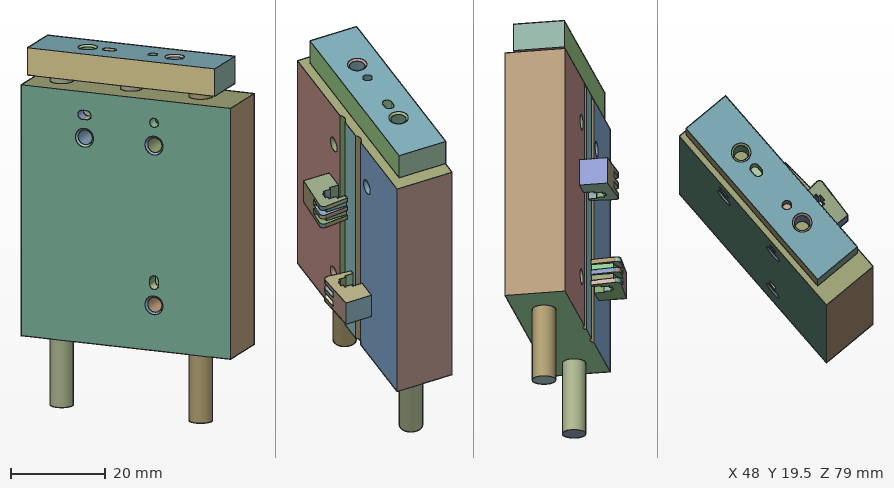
import cadquery as cq
import math


ROD_OVERHANG = 16.0
HOUSING_HEIGHT = 55.0
PLATE_GAP = 2.0
PLATE_HEIGHT = 6.0
HOUSING_BOTTOM = ROD_OVERHANG
HOUSING_TOP = HOUSING_BOTTOM + HOUSING_HEIGHT
PLATE_BOTTOM = HOUSING_TOP + PLATE_GAP
PLATE_TOP = PLATE_BOTTOM + PLATE_HEIGHT

HOUSING_WIDTH = 48.0
HOUSING_DEPTH = 12.95
PLATE_WIDTH = 43.0
PLATE_DEPTH = 11.0
PLATE_SETBACK = 1.0
HOUSING_LEFT = -PLATE_WIDTH / 2 - PLATE_SETBACK
HOUSING_FRONT = -HOUSING_DEPTH / 2
HOUSING_BACK = HOUSING_DEPTH / 2

GUIDE_ROD_DIAMETER = 5.0
GUIDE_ROD_OFFSET = 15.95
PISTON_ROD_DIAMETER = 4.6

SCREW_DIAMETER = 3.2
SCREW_MOUTH_DIAMETER = 4.1
SCREW_MOUTH_ANGLE = 45
SCREW_OFFSET = 8.0
UPPER_SCREW_DROP = 10.0
SCREW_PITCH = 35.0
PIN_DIAMETER = 2.0
PIN_SLOT_LENGTH = 3.0
PIN_DEPTH = 3.0
PIN_TO_SCREW = 5.0
PLATE_PIN_OFFSET = 5.0
PLATE_SCREW_OFFSET = 9.95
UPPER_SCREW_Z = HOUSING_TOP - UPPER_SCREW_DROP
LOWER_SCREW_Z = UPPER_SCREW_Z - SCREW_PITCH

SENSOR_OFFSET = 3.8
SENSOR_GROOVE_DIAMETER = 3.2
SENSOR_GROOVE_DEPTH = 0.55

CLIP_OUTER = 10.2
CLIP_INNER = 0.3
CLIP_FOOT_INNER = 0.95
CLIP_HEIGHT = 6.6
CLIP_OUTER_HEIGHT = 6.0
CLIP_LEG_GAP = 0.2
CLIP_CORNER_RADIUS = 0.95
CLIP_SLOT_STEPS = [(3.8, 2.1), (2.8, 3.8), (1.35, 4.35)]
RIB_COUNT = 3
RIB_LENGTH = 1.0
RIB_GAP = 1.35
CLIP_LENGTH = RIB_COUNT * RIB_LENGTH + (RIB_COUNT - 1) * RIB_GAP
GRIP_DIAMETER = 10.0
GRIP_FLOOR_HEIGHT = 5.0
GRIP_WALL_INNER = 1.3
RIGHT_CLIP_DROP = 19.35
LEFT_CLIP_DROP = 37.8
RIGHT_CLIP_TOP = HOUSING_TOP - RIGHT_CLIP_DROP
LEFT_CLIP_TOP = HOUSING_TOP - LEFT_CLIP_DROP


def front_plane(x, z):
    """Plane on the housing front, with its normal pointing out."""
    return cq.Plane(origin=(x, HOUSING_FRONT, z), xDir=(1, 0, 0), normal=(0, -1, 0))


def top_plane(x):
    """Plane on the plate top, with its normal pointing up."""
    return cq.Plane(origin=(x, 0, PLATE_TOP))


def screw_hole(plane, length):
    """Cutter for a hole with a countersunk mouth."""
    mouth_radius = SCREW_MOUTH_DIAMETER / 2
    slope = math.tan(math.radians(SCREW_MOUTH_ANGLE))
    mouth_depth = (mouth_radius - SCREW_DIAMETER / 2) / slope
    bore = cq.Workplane(plane).circle(SCREW_DIAMETER / 2).extrude(-length)
    mouth = cq.Workplane(plane).circle(mouth_radius).extrude(-mouth_depth, taper=SCREW_MOUTH_ANGLE)
    return bore.union(mouth)


def pin_hole(plane):
    """Cutter for a round locating hole."""
    return cq.Workplane(plane).circle(PIN_DIAMETER / 2).extrude(-PIN_DEPTH)


def pin_slot(plane, angle):
    """Cutter for a locating slot turned by the given angle."""
    return cq.Workplane(plane).slot2D(PIN_SLOT_LENGTH, PIN_DIAMETER, angle).extrude(-PIN_DEPTH)


def cylinder(diameter, x, y, z_bottom, z_top):
    """Upright cylinder between two heights."""
    return cq.Workplane("XY", origin=(x, y, z_bottom)).circle(diameter / 2).extrude(z_top - z_bottom)


def make_housing():
    housing = cq.Workplane("XY").box(
        HOUSING_WIDTH, HOUSING_DEPTH, HOUSING_HEIGHT, centered=False
    ).translate((HOUSING_LEFT, HOUSING_FRONT, HOUSING_BOTTOM))

    screw_places = [
        (-SCREW_OFFSET, UPPER_SCREW_Z),
        (SCREW_OFFSET, UPPER_SCREW_Z),
        (SCREW_OFFSET, LOWER_SCREW_Z),
    ]
    for x, z in screw_places:
        housing = housing.cut(screw_hole(front_plane(x, z), HOUSING_DEPTH))

    upper_pin_z = UPPER_SCREW_Z + PIN_TO_SCREW
    lower_pin_z = LOWER_SCREW_Z + PIN_TO_SCREW
    housing = housing.cut(pin_hole(front_plane(SCREW_OFFSET, upper_pin_z)))
    housing = housing.cut(pin_slot(front_plane(-SCREW_OFFSET, upper_pin_z), 0))
    housing = housing.cut(pin_slot(front_plane(SCREW_OFFSET, lower_pin_z), 90))

    groove_y = HOUSING_BACK - SENSOR_GROOVE_DEPTH + SENSOR_GROOVE_DIAMETER / 2
    for side in (-1, 1):
        bore = cylinder(GUIDE_ROD_DIAMETER, side * GUIDE_ROD_OFFSET, 0, HOUSING_BOTTOM, HOUSING_TOP)
        groove = cylinder(
            SENSOR_GROOVE_DIAMETER, side * SENSOR_OFFSET, groove_y, HOUSING_BOTTOM, HOUSING_TOP
        )
        housing = housing.cut(bore).cut(groove)
    return housing


def make_plate():
    """End plate in one piece with the piston rod, which meets the housing top."""
    plate = cq.Workplane("XY", origin=(0, 0, PLATE_BOTTOM)).box(
        PLATE_WIDTH, PLATE_DEPTH, PLATE_HEIGHT, centered=(True, True, False)
    )
    for side in (-1, 1):
        plate = plate.cut(screw_hole(top_plane(side * PLATE_SCREW_OFFSET), PLATE_HEIGHT))
    plate = plate.cut(pin_hole(top_plane(PLATE_PIN_OFFSET)))
    plate = plate.cut(pin_slot(top_plane(-PLATE_PIN_OFFSET), 0))
    return plate.union(cylinder(PISTON_ROD_DIAMETER, 0, 0, HOUSING_TOP, PLATE_BOTTOM))


def make_guide_rod(side):
    """Guide rod from the plate down through the housing."""
    return cylinder(GUIDE_ROD_DIAMETER, side * GUIDE_ROD_OFFSET, 0, 0, PLATE_BOTTOM)


def clip_blank(plane):
    """Clip profile with its sloping top, rounded inner corner and stepped sensor slot."""
    blank = (
        cq.Workplane(plane)
        .polyline([
            (CLIP_OUTER, 0),
            (CLIP_OUTER, CLIP_OUTER_HEIGHT),
            (CLIP_INNER, CLIP_HEIGHT),
            (CLIP_FOOT_INNER, CLIP_LEG_GAP),
            (SENSOR_OFFSET, CLIP_LEG_GAP),
            (SENSOR_OFFSET, 0),
        ])
        .close()
        .extrude(CLIP_LENGTH)
    )
    top_corner = cq.selectors.NearestToPointSelector(
        plane.toWorldCoords((CLIP_INNER, CLIP_HEIGHT, CLIP_LENGTH / 2)).toTuple()
    )
    blank = blank.edges(top_corner).fillet(CLIP_CORNER_RADIUS)
    for width, height in CLIP_SLOT_STEPS:
        step = cq.Workplane(plane).center(SENSOR_OFFSET, height / 2).rect(width, height)
        blank = blank.cut(step.extrude(CLIP_LENGTH))
    return blank


def grip_hollow(plane):
    """Cutter between two ribs: a straight wall on the leg and a round hollow in the top."""
    radius = GRIP_DIAMETER / 2
    rise = CLIP_HEIGHT - GRIP_FLOOR_HEIGHT
    reach = math.sqrt(radius**2 - (radius - rise) ** 2)
    half_angle = math.acos(1 - rise / radius) / 2
    arc_middle = (
        GRIP_WALL_INNER + radius * math.sin(half_angle),
        GRIP_FLOOR_HEIGHT + radius * (1 - math.cos(half_angle)),
    )
    return (
        cq.Workplane(plane)
        .moveTo(0, 0)
        .lineTo(GRIP_WALL_INNER, 0)
        .lineTo(GRIP_WALL_INNER, GRIP_FLOOR_HEIGHT)
        .threePointArc(arc_middle, (GRIP_WALL_INNER + reach, CLIP_HEIGHT))
        .lineTo(0, CLIP_HEIGHT)
        .close()
        .extrude(RIB_GAP)
    )


def make_sensor_clip(side, top):
    """Ribbed clip on the housing back; side is -1 for the left one, 1 for the right one."""
    plane = cq.Plane(origin=(0, HOUSING_BACK, top - CLIP_LENGTH))
    clip = clip_blank(plane)
    for index in range(RIB_COUNT - 1):
        gap_bottom = RIB_LENGTH + index * (RIB_LENGTH + RIB_GAP)
        clip = clip.cut(grip_hollow(plane).translate((0, 0, gap_bottom)))
    if side < 0:
        clip = clip.mirror("YZ")
    return clip


housing = make_housing()
plate = make_plate()
guide_rods = [make_guide_rod(side) for side in (-1, 1)]
sensor_clips = [
    make_sensor_clip(side, top) for side, top in ((-1, LEFT_CLIP_TOP), (1, RIGHT_CLIP_TOP))
]

result = cq.Compound.makeCompound([
    housing.val(),
    plate.val(),
    *[rod.val() for rod in guide_rods],
    *[clip.val() for clip in sensor_clips],
])